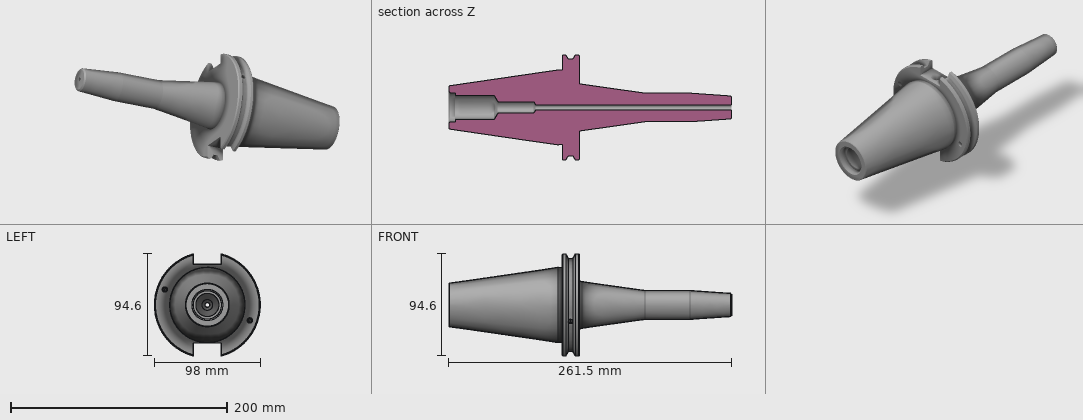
import cadquery as cq
import math

TOTAL_LENGTH = 261.5

TAPER_RATIO = 7 / 24
TAPER_LENGTH = 101.0
TAPER_LARGE_D = 69.8
TAPER_SMALL_D = TAPER_LARGE_D - TAPER_RATIO * TAPER_LENGTH
TAPER_END_CHAMFER = 0.5
COLLAR_D = 69.3
COLLAR_START = 102.5

FLANGE_D = 98.0
FLANGE_START = 104.6
FLANGE_END = 120.9
FLANGE_CHAMFER = 1.0
GROOVE_CENTER = 112.5
GROOVE_FLOOR_D = 90.0
GROOVE_FLOOR_WIDTH = 4.2
GROOVE_FLANK_ANGLE = 30.0

SLOT_WIDTH = 25.6
TOP_SLOT_HEIGHT = 37.7
BOTTOM_SLOT_HEIGHT = 35.3
DIMPLE_D = 9.5
DRILL_POINT_ANGLE = 118.0

COOLANT_ANGLES = (20.0, 200.0)
COOLANT_CIRCLE_R = 41.9
COOLANT_MOUTH_D = 5.0
COOLANT_D = 3.1
COOLANT_MOUTH_DEPTH = 2.5
RADIAL_HOLE_D = 4.2

NECK_BASE_D = 44.5
NECK_CONE_START = 123.0
NECK_CONE_D = 43.5
SHANK_START = 181.3
SHANK_END = 223.1
SHANK_D = 27.0
TIP_D = 21.7
TIP_CHAMFER = 1.3

BORE_MOUTH_D = 28.8
PILOT_D = 26.2
PILOT_DEPTH = 6.0
THREAD_D = 21.5
THREAD_DEPTH = 41.9
FEED_D = 10.0
FEED_DEPTH = 78.5
THROUGH_D = 4.2


def revolve_about_x(points):
    """Revolve a closed (x, radius) outline about the X axis."""
    return cq.Workplane("XY").polyline(points).close().revolve(360, (0, 0, 0), (1, 0, 0))


def drill_point(diameter):
    return diameter / 2 / math.tan(math.radians(DRILL_POINT_ANGLE / 2))


def outer_profile():
    flange_r = FLANGE_D / 2
    groove_depth = flange_r - GROOVE_FLOOR_D / 2
    floor_half = GROOVE_FLOOR_WIDTH / 2
    mouth_half = floor_half + groove_depth * math.tan(math.radians(GROOVE_FLANK_ANGLE))
    return [
        (0, TAPER_SMALL_D / 2 - TAPER_END_CHAMFER),
        (TAPER_END_CHAMFER, (TAPER_SMALL_D + TAPER_RATIO * TAPER_END_CHAMFER) / 2),
        (TAPER_LENGTH, TAPER_LARGE_D / 2),
        (COLLAR_START, COLLAR_D / 2),
        (FLANGE_START, COLLAR_D / 2),
        (FLANGE_START, flange_r - FLANGE_CHAMFER),
        (FLANGE_START + FLANGE_CHAMFER, flange_r),
        (GROOVE_CENTER - mouth_half, flange_r),
        (GROOVE_CENTER - floor_half, GROOVE_FLOOR_D / 2),
        (GROOVE_CENTER + floor_half, GROOVE_FLOOR_D / 2),
        (GROOVE_CENTER + mouth_half, flange_r),
        (FLANGE_END - FLANGE_CHAMFER, flange_r),
        (FLANGE_END, flange_r - FLANGE_CHAMFER),
        (FLANGE_END, NECK_BASE_D / 2),
        (NECK_CONE_START, NECK_CONE_D / 2),
        (SHANK_START, SHANK_D / 2),
        (SHANK_END, SHANK_D / 2),
        (TOTAL_LENGTH - TIP_CHAMFER, TIP_D / 2),
        (TOTAL_LENGTH, TIP_D / 2 - TIP_CHAMFER),
    ]


def bore_profile():
    mouth_chamfer = (BORE_MOUTH_D - PILOT_D) / 2
    cone_end = THREAD_DEPTH + drill_point(THREAD_D) - drill_point(FEED_D)
    return [
        (0, BORE_MOUTH_D / 2),
        (mouth_chamfer, PILOT_D / 2),
        (PILOT_DEPTH, PILOT_D / 2),
        (PILOT_DEPTH, THREAD_D / 2),
        (THREAD_DEPTH, THREAD_D / 2),
        (cone_end, FEED_D / 2),
        (FEED_DEPTH, FEED_D / 2),
        (FEED_DEPTH + drill_point(FEED_D) - drill_point(THROUGH_D), THROUGH_D / 2),
        (TOTAL_LENGTH, THROUGH_D / 2),
    ]


def drive_slot(floor_height, direction):
    depth = FLANGE_D / 2 - floor_height
    middle = direction * (floor_height + depth / 2)
    length = FLANGE_END - FLANGE_START
    return cq.Workplane("XY").box(length, SLOT_WIDTH, depth).translate(
        ((FLANGE_START + FLANGE_END) / 2, 0, middle))


def slot_dimple():
    profile = [
        (0, 0),
        (DIMPLE_D / 2, 0),
        (0, -drill_point(DIMPLE_D)),
    ]
    dimple = cq.Workplane("XZ").polyline(profile).close().revolve(360, (0, 0, 0), (0, 1, 0))
    return dimple.translate(((FLANGE_START + FLANGE_END) / 2, 0, TOP_SLOT_HEIGHT))


def coolant_passage(angle):
    """Axial hole and radial outlet, built along +Y and turned about X."""
    def axial_hole(diameter, depth):
        face = cq.Workplane("YZ", origin=(FLANGE_START, COOLANT_CIRCLE_R, 0))
        return face.circle(diameter / 2).extrude(depth)

    outlet = (
        cq.Workplane("XZ", origin=(GROOVE_CENTER, COOLANT_CIRCLE_R, 0))
        .circle(RADIAL_HOLE_D / 2)
        .extrude(COOLANT_CIRCLE_R - FLANGE_D / 2)
    )
    passage = axial_hole(COOLANT_MOUTH_D, COOLANT_MOUTH_DEPTH)
    passage = passage.union(axial_hole(COOLANT_D, GROOVE_CENTER - FLANGE_START)).union(outlet)
    return passage.rotate((0, 0, 0), (1, 0, 0), angle)


result = revolve_about_x(outer_profile() + bore_profile()[::-1])
result = result.cut(drive_slot(TOP_SLOT_HEIGHT, 1)).cut(drive_slot(BOTTOM_SLOT_HEIGHT, -1))
result = result.cut(slot_dimple())
for coolant_angle in COOLANT_ANGLES:
    result = result.cut(coolant_passage(coolant_angle))